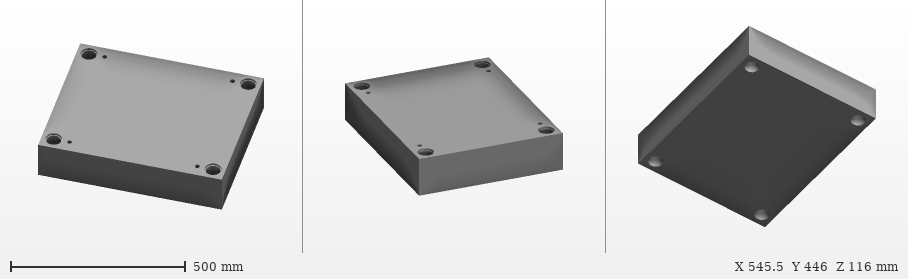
import cadquery as cq
import math

length = 545.5
width = 446.0
height = 116.0

corner_inset = 36.0
bore_diameter = 42.0
counterbore_diameter = 48.0
counterbore_depth = 6.0
bore_spacing_x = length - 2 * corner_inset
hole_spacing_y = width - 2 * corner_inset

small_diameter = 14.0
small_depth = 33.0
small_spacing_x = 380.0
drill_tip_angle = 118.0


def top_hole_centers(body, spacing_x):
    """Select the four hole centres on the top face of the body."""
    top = body.faces(">Z").workplane(origin=(0, 0, height))
    return top.rect(spacing_x, hole_spacing_y, forConstruction=True).vertices()


def drilled_hole_cutter():
    """Revolved drill shape with a conical tip, its mouth centred on the origin."""
    radius = small_diameter / 2
    tip_length = radius / math.tan(math.radians(drill_tip_angle / 2))
    profile = (
        cq.Workplane("XZ")
        .moveTo(0, 0)
        .lineTo(radius, 0)
        .lineTo(radius, -small_depth)
        .lineTo(0, -small_depth - tip_length)
        .close()
    )
    return profile.revolve(360, (0, 0, 0), (0, 1, 0)).val()


block = cq.Workplane("XY").box(length, width, height, centered=(True, True, False))

bored_block = top_hole_centers(block, bore_spacing_x).cboreHole(
    bore_diameter, counterbore_diameter, counterbore_depth
)

cutter = drilled_hole_cutter()
result = top_hole_centers(bored_block, small_spacing_x).cutEach(lambda place: cutter.moved(place))